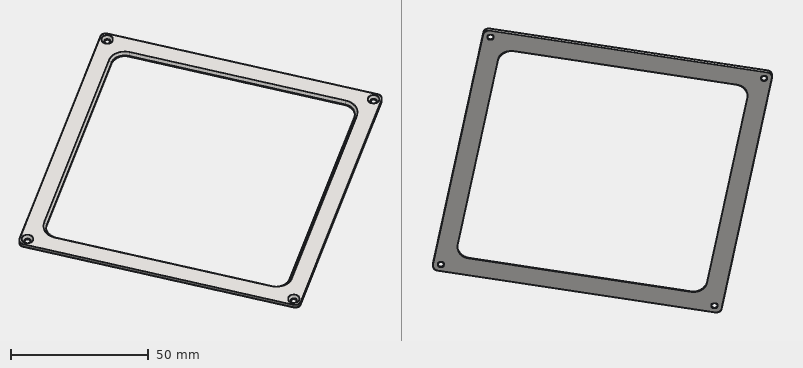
import cadquery as cq

side = 106.6
thickness = 1.5
outer_corner_radius = 2.1

window_side = 92.0
window_corner_radius = 5.0
rim_chamfer = 1.0

hole_diameter = 2.2
countersink_diameter = 4.2
countersink_angle = 90.0
hole_spacing = 101.0


def rounded_square(width, corner_radius):
    """Square plate resting on Z = 0 with rounded vertical edges."""
    return cq.Workplane("XY").rect(width, width).extrude(thickness).edges("|Z").fillet(corner_radius)


plate = rounded_square(side, outer_corner_radius)
window = rounded_square(window_side, window_corner_radius)

frame = plate.cut(window)
frame = frame.faces(">Z").wires(cq.selectors.LengthNthSelector(0)).chamfer(rim_chamfer)

result = (
    frame.faces(">Z")
    .workplane(origin=(0, 0, thickness))
    .rect(hole_spacing, hole_spacing, forConstruction=True)
    .vertices()
    .cskHole(hole_diameter, countersink_diameter, countersink_angle)
)